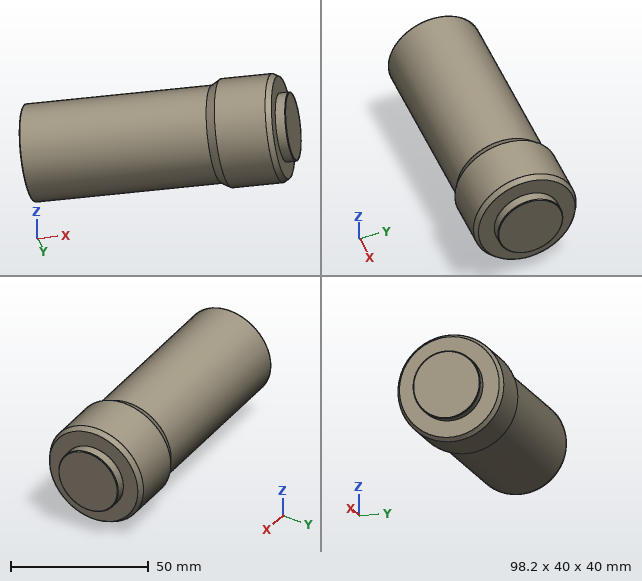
import cadquery as cq

total_length = 98.2
barrel_length = 69.8
flare_length = 3.5
head_end = 94.4
head_chamfer_length = 2.1

barrel_diameter = 35.9
head_diameter = 40.0
head_face_diameter = 37.6
spigot_diameter = 25.3

end_chamfer = 0.3

barrel_radius = barrel_diameter / 2
head_radius = head_diameter / 2
head_face_radius = head_face_diameter / 2
spigot_radius = spigot_diameter / 2

half_section = (
    cq.Workplane("XY")
    .moveTo(0, 0)
    .lineTo(0, barrel_radius - end_chamfer)
    .lineTo(end_chamfer, barrel_radius)
    .lineTo(barrel_length, barrel_radius)
    .lineTo(barrel_length + flare_length, head_radius)
    .lineTo(head_end - head_chamfer_length, head_radius)
    .lineTo(head_end, head_face_radius)
    .lineTo(head_end, spigot_radius)
    .lineTo(total_length - end_chamfer, spigot_radius)
    .lineTo(total_length, spigot_radius - end_chamfer)
    .lineTo(total_length, 0)
    .close()
)

body = half_section.revolve(360, (0, 0, 0), (1, 0, 0))
result = body.translate((-total_length / 2, 0, 0))